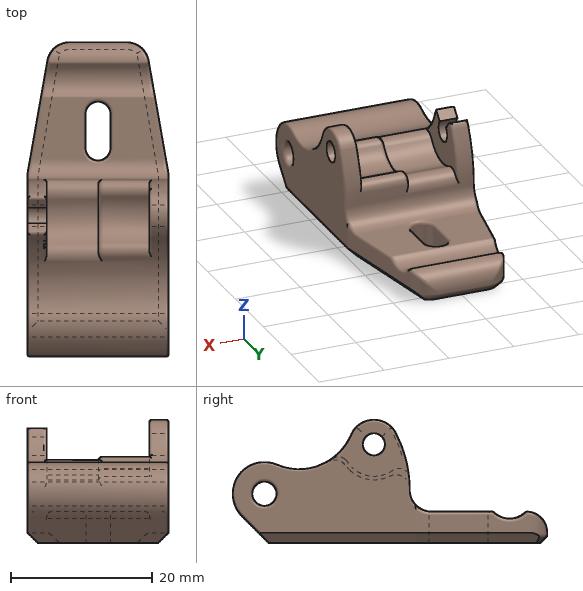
import cadquery as cq
import math

width = 20.0

pivot = (0.0, 7.0)
pivot_radius = 4.5
pivot_bore = 3.4
bore_mouth_fillet = 0.5

pin = (15.5, 14.0)
lug_radius = 3.5
pin_bore = 3.1
lug_inner_x = 7.25
saddle_radius = 8.0
rear_wall_y = 20.6
hook_opening_half_angle = 45.0

floor_z = 4.5
floor_corner_radius = 3.0
tail_end_y = 40.06
tail_dome_radius = 3.0
tail_end_chamfer = 1.0
taper_start_y = 21.45
taper_angle = 10.0
tail_corner_radius = 3.25
groove_y = 34.72
groove_depth = 1.0

slot_y = 27.45
slot_width = 3.5
slot_length = 8.3
slot_mouth_fillet = 0.5

deep_floor = (5.0, 2.0)
shallow_floor = (4.5, 1.5)
step_x = 0.0
step_fillet = 0.7

edge_fillet = 0.4
tail_edge_fillet = 0.5
side_chamfer = 1.5

half_width = width / 2
top_z = pin[1] + lug_radius
groove_half = tail_end_y - tail_dome_radius - groove_y

clearance = 5.0
position_tolerance = 0.05
front_y = -pivot_radius - clearance


def toward(start, end, distance):
    """Point at the given distance from start on the ray through end."""
    length = math.dist(start, end)
    return tuple(s + (e - s) * distance / length for s, e in zip(start, end))


def circle_crossing(first, first_radius, second, second_radius):
    """Crossing of two circles on the left of the direction first -> second."""
    span = math.dist(first, second)
    along = (first_radius**2 - second_radius**2 + span**2) / (2 * span)
    aside = math.sqrt(first_radius**2 - along**2)
    uy, uz = (second[0] - first[0]) / span, (second[1] - first[1]) / span
    return (first[0] + along * uy - aside * uz, first[1] + along * uz + aside * uy)


def arc_middle(centre, radius, start, end):
    """Middle of the shorter arc from start to end."""
    chord_middle = ((start[0] + end[0]) / 2, (start[1] + end[1]) / 2)
    return toward(centre, chord_middle, radius)


def arc_to(sketch, centre, radius, start, end):
    """Extend an outline by the shorter arc from start to end."""
    return sketch.threePointArc(arc_middle(centre, radius, start, end), end)


saddle_centre = circle_crossing(
    pivot, pivot_radius + saddle_radius, pin, lug_radius + saddle_radius
)
saddle_start = toward(pivot, saddle_centre, pivot_radius)
saddle_end = toward(pin, saddle_centre, lug_radius)

rear_foot = (rear_wall_y, floor_z + floor_corner_radius)
pin_to_wall = rear_wall_y - pin[0]
pin_above_foot = pin[1] - rear_foot[1]
rear_radius = (pin_to_wall**2 + pin_above_foot**2 - lug_radius**2) / (2 * (pin_to_wall - lug_radius))
rear_centre = (rear_wall_y - rear_radius, rear_foot[1])
lug_end = toward(rear_centre, pin, rear_radius)


def trace_lug(sketch):
    """Continue an outline from the nose over the saddle and the lug down to the foot of the rear arc."""
    sketch = arc_to(sketch, saddle_centre, saddle_radius, saddle_start, saddle_end)
    sketch = sketch.threePointArc((pin[0], pin[1] + lug_radius), lug_end)
    return arc_to(sketch, rear_centre, rear_radius, lug_end, rear_foot)


def side_outline():
    """Closed side outline of the whole part, with a 45 degree cut under the pivot nose."""
    diagonal = math.sqrt(0.5)
    nose = (pivot[0] - pivot_radius * diagonal, pivot[1] - pivot_radius * diagonal)
    nose_foot_y = nose[0] + nose[1]
    floor_corner_centre = (rear_wall_y + floor_corner_radius, rear_foot[1])
    floor_start = (floor_corner_centre[0], floor_z)
    dome_centre = (tail_end_y - tail_dome_radius, floor_z - tail_dome_radius)
    dome_end = (tail_end_y, dome_centre[1])
    dome_start = (groove_y + groove_half, floor_z)

    sketch = cq.Workplane("YZ").moveTo(nose_foot_y, 0).lineTo(*nose)
    sketch = sketch.threePointArc((pivot[0] - pivot_radius, pivot[1]), saddle_start)
    sketch = trace_lug(sketch)
    sketch = arc_to(sketch, floor_corner_centre, floor_corner_radius, rear_foot, floor_start)
    sketch = sketch.lineTo(groove_y - groove_half, floor_z)
    sketch = sketch.threePointArc((groove_y, floor_z - groove_depth), dome_start)
    sketch = arc_to(sketch, dome_centre, tail_dome_radius, dome_start, dome_end)
    return sketch.lineTo(tail_end_y, 0).close()


def edges_in_box(solid, low, high):
    """Edges whose centres lie between two opposite corners, without those along X or Z."""
    return solid.edges(cq.selectors.BoxSelector(low, high)).edges("not(|X or |Z)")


def straight_blank():
    """Side outline at full width, with rounded upper rims from the pivot nose to the tail floor."""
    blank = side_outline().extrude(half_width, both=True)
    low = (-width, -pivot_radius, tail_end_chamfer)
    high = (width, groove_y - groove_half, top_z + clearance)
    return edges_in_box(blank, low, high).fillet(edge_fillet)


def tapered_blank():
    """Side outline trimmed to a wedge that narrows toward the tail end, with rounded tail rims."""
    slope = math.tan(math.radians(taper_angle))
    front_half = half_width + (taper_start_y - front_y) * slope
    tail_half = half_width - (tail_end_y - taper_start_y) * slope
    outline = [
        (-front_half, front_y),
        (front_half, front_y),
        (tail_half, tail_end_y),
        (-tail_half, tail_end_y),
    ]
    wedge = cq.Workplane("XY").polyline(outline).close().extrude(top_z + clearance)
    wedge = wedge.edges("|Z and >Y").fillet(tail_corner_radius)
    wedge = wedge.faces("<Z").chamfer(tail_end_chamfer)
    blank = side_outline().extrude(front_half, both=True).intersect(wedge)

    rims = edges_in_box(blank, (-width, rear_wall_y, tail_end_chamfer), (width, tail_end_y, top_z))
    lips = blank.edges("|X").edges(
        cq.selectors.BoxSelector(
            (-width, groove_y - groove_half - position_tolerance, floor_z - position_tolerance),
            (width, groove_y + groove_half + position_tolerance, floor_z + position_tolerance),
        )
    )
    return rims.add(lips).fillet(tail_edge_fillet)


def side_chamfer_cutters():
    """Wedges under the bottom side edges: along the straight sides and along the tapered tail."""
    length = tail_end_y - front_y
    section = [
        (-side_chamfer, 0),
        (clearance, side_chamfer + clearance),
        (clearance, -clearance),
        (-side_chamfer, -clearance),
    ]
    bar = cq.Workplane("XZ").polyline(section).close().extrude(length, both=True)
    straight = bar.translate((half_width, 0, 0))
    tapered = bar.rotate((0, 0, 0), (0, 0, 1), taper_angle).translate((half_width, taper_start_y, 0))
    right = straight.union(tapered)
    return right.union(right.mirror("YZ"))


def lip_points(floor):
    """Tangent points of a pocket floor, front to rear, and the centres of its two lips."""
    floor_radius, lip_radius = floor
    reach = floor_radius + lip_radius
    front_lip = circle_crossing(pin, reach, saddle_centre, saddle_radius + lip_radius)
    rear_lip = circle_crossing(pin, reach, rear_centre, rear_radius - lip_radius)
    points = [
        toward(saddle_centre, front_lip, saddle_radius),
        toward(pin, front_lip, floor_radius),
        toward(pin, rear_lip, floor_radius),
        toward(rear_centre, rear_lip, rear_radius),
    ]
    return points, front_lip, rear_lip


def start_floor(floor):
    """Open outline along a pocket floor: front lip, concave floor around the pin, rear lip."""
    floor_radius, lip_radius = floor
    (front, floor_front, floor_rear, rear), front_lip, rear_lip = lip_points(floor)
    sketch = cq.Workplane("YZ").moveTo(*front)
    sketch = arc_to(sketch, front_lip, lip_radius, front, floor_front)
    sketch = sketch.threePointArc((pin[0], pin[1] - floor_radius), floor_rear)
    return arc_to(sketch, rear_lip, lip_radius, floor_rear, rear)


def pocket_space():
    """Space above the deep floor, over the full width."""
    front, rear = lip_points(deep_floor)[0][::3]
    sketch = start_floor(deep_floor).lineTo(rear[0] + clearance, rear[1])
    sketch = sketch.lineTo(rear[0] + clearance, top_z + clearance).lineTo(front[0], top_z + clearance)
    return sketch.close().extrude(width, both=True)


def lug():
    """Lug on the +X side, reaching past the part's side, with a square inner rim."""
    sketch = trace_lug(cq.Workplane("YZ").moveTo(*saddle_start))
    sketch = sketch.lineTo(rear_foot[0], 0).lineTo(saddle_start[0], 0).close()
    return sketch.extrude(width).translate((lug_inner_x, 0, 0))


def shallow_step():
    """Raised floor on the +X side of the pocket, with a rounded edge along the step."""
    front, rear = lip_points(shallow_floor)[0][::3]
    sketch = start_floor(shallow_floor)
    sketch = arc_to(sketch, rear_centre, rear_radius, rear, rear_foot)
    sketch = sketch.lineTo(rear_foot[0], 0).lineTo(saddle_start[0], 0).lineTo(*saddle_start)
    sketch = arc_to(sketch, saddle_centre, saddle_radius, saddle_start, front)
    return sketch.close().extrude(width).translate((step_x, 0, 0))


def rounded_inner_rim(block, radius):
    """Round the curved edges of the block's -X face."""
    return block.faces("<X").edges("%CIRCLE").fillet(radius)


def pocket():
    """Stepped pocket: the space above the floors and between the lugs."""
    right_lug = rounded_inner_rim(lug(), edge_fillet)
    step = rounded_inner_rim(shallow_step(), step_fillet)
    return pocket_space().cut(right_lug).cut(right_lug.mirror("YZ")).cut(step)


def bore(centre, diameter):
    """Cylinder along X through the whole part."""
    return cq.Workplane("YZ").center(*centre).circle(diameter / 2).extrude(width, both=True)


def hook_opening():
    """Wedge that opens the -X pin bore upward and flares out to round the two tips of the hook."""
    half_angle = math.radians(hook_opening_half_angle)
    along = math.sqrt((lug_radius - edge_fillet) ** 2 - edge_fillet**2)

    def from_pin(side, distance, offset=0.0):
        """Point along one wedge face, offset into the hook."""
        y = distance * math.sin(half_angle) + offset * math.cos(half_angle)
        z = distance * math.cos(half_angle) - offset * math.sin(half_angle)
        return (pin[0] + side * y, pin[1] + z)

    rear_tip, front_tip = (from_pin(side, along, edge_fillet) for side in (1, -1))
    rear_face, front_face = (from_pin(side, along) for side in (1, -1))
    rear_rim, front_rim = (toward(pin, tip, lug_radius) for tip in (rear_tip, front_tip))

    sketch = cq.Workplane("YZ").moveTo(*pin).lineTo(*rear_face)
    sketch = arc_to(sketch, rear_tip, edge_fillet, rear_face, rear_rim)
    sketch = sketch.lineTo(rear_rim[0], top_z + clearance).lineTo(front_rim[0], top_z + clearance)
    sketch = sketch.lineTo(*front_rim)
    sketch = arc_to(sketch, front_tip, edge_fillet, front_rim, front_face)
    return sketch.close().extrude(-width)


def cut_pivot_bore(part):
    """Pivot bore through the nose, with rounded mouths on both sides."""
    part = part.cut(bore(pivot, pivot_bore))
    mouths = part.edges("%CIRCLE").edges(
        cq.selectors.BoxSelector(
            (-width, pivot[0] - position_tolerance, pivot[1] - position_tolerance),
            (width, pivot[0] + position_tolerance, pivot[1] + position_tolerance),
        )
    )
    return mouths.fillet(bore_mouth_fillet)


def cut_tail_slot(part):
    """Slot through the tail with a rounded upper mouth."""
    slot = cq.Workplane("XY").center(0, slot_y).slot2D(slot_length, slot_width, 90)
    part = part.cut(slot.extrude(top_z))
    low = (-slot_width, slot_y - slot_length / 2 - position_tolerance, side_chamfer)
    high = (slot_width, slot_y + slot_length / 2 + position_tolerance, rear_foot[1])
    return edges_in_box(part, low, high).fillet(slot_mouth_fillet)


def build():
    """Blank first, then the chamfers, the pocket, the bores and the slot."""
    part = straight_blank().intersect(tapered_blank())
    part = part.cut(side_chamfer_cutters()).cut(pocket())
    part = part.cut(bore(pin, pin_bore)).cut(hook_opening())
    return cut_tail_slot(cut_pivot_bore(part))


result = build()